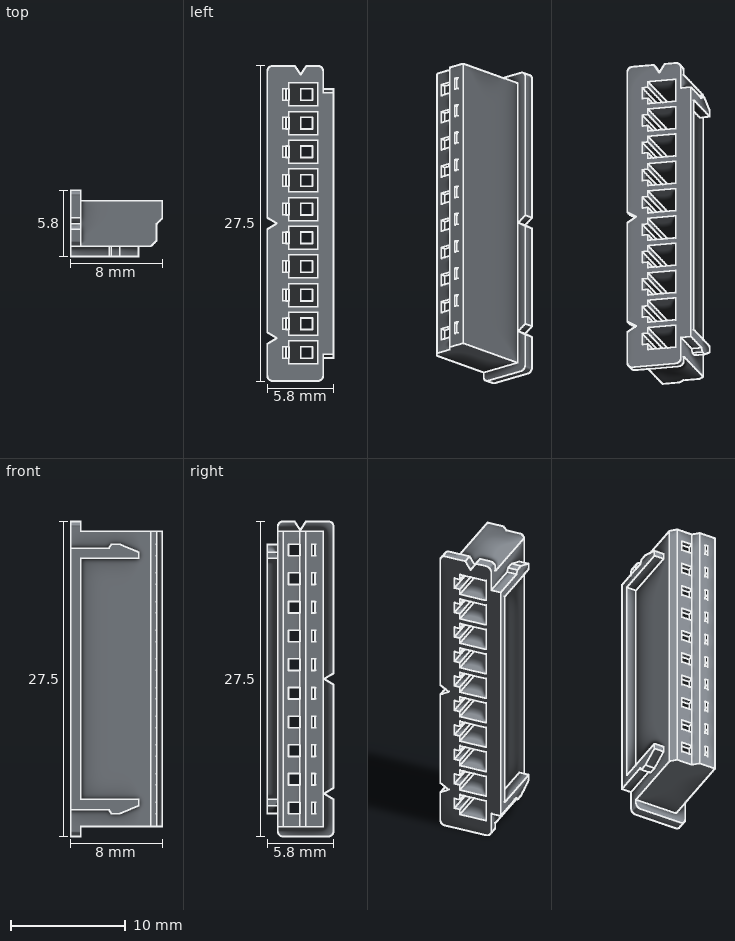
import cadquery as cq


flange_height = 27.5
flange_width = 4.9
flange_thickness = 0.9
corner_radius = 0.5
notch_width = 1.0
side_notch_depth = 0.82
top_notch_depth = 0.77
top_notch_y = 1.98

body_length = 8.0
body_height = 25.77
body_width = flange_width - flange_thickness
nose_step = 0.5
nose_step_y = 2.45

latch_thickness = 0.9
latch_length = 5.95
latch_arm_width = 0.9
latch_bar_width = 0.9
latch_outer_z = 11.4
hook_start_x = 3.35
hook_crest_start_x = 3.55
hook_crest_end_x = 4.3
hook_crest_z = 11.75
hook_tip_z = 11.05

contact_count = 10
contact_span = 22.5
contact_pitch = contact_span / (contact_count - 1)
cavity_bottom_y = 0.5
cavity_top_y = 3.0
cavity_height = 2.0
cavity_depth = 7.0
window_size = 1.0
window_bottom_y = 0.95
slot_width = 1.0
slot_top_y = 3.52
slot_exit_chamfer = 0.28

side_notch_contacts = 4
side_notch_spacing = side_notch_contacts * contact_pitch


def box(x_range, y_range, height, z_center):
    """Block spanning the given X and Y ranges, centred on z_center."""
    length = x_range[1] - x_range[0]
    width = y_range[1] - y_range[0]
    corner = cq.Vector(x_range[0], y_range[0], z_center - height / 2)
    return cq.Workplane(cq.Solid.makeBox(length, width, height, corner))


def flange_prism(points):
    """Prism through the flange from an outline of (Y, Z) points."""
    return cq.Workplane("YZ").polyline(points).close().extrude(flange_thickness)


def make_flange():
    half_height = flange_height / 2
    half_notch = notch_width / 2
    flange = box((0, flange_thickness), (0, flange_width), flange_height, 0)
    flange = flange.edges("|X").fillet(corner_radius)

    flange = flange.cut(flange_prism([
        (top_notch_y - half_notch, half_height),
        (top_notch_y, half_height - top_notch_depth),
        (top_notch_y + half_notch, half_height),
    ]))
    for z in (0, -side_notch_spacing):
        flange = flange.cut(flange_prism([
            (flange_width, z - half_notch),
            (flange_width - side_notch_depth, z),
            (flange_width, z + half_notch),
        ]))
    return flange


def make_body():
    """Block with a stepped nose whose corners are cut at 45 degrees."""
    step_x = body_length - nose_step
    outline = [
        (0.0, 0.0),
        (step_x - nose_step, 0.0),
        (step_x, nose_step),
        (step_x, nose_step_y - nose_step),
        (body_length, nose_step_y),
        (body_length, body_width),
        (0.0, body_width),
    ]
    return cq.Workplane("XY").polyline(outline).close().extrude(body_height / 2, both=True)


def make_latch_plate():
    """C-shaped plate: a bar on the flange side and two hooked arms."""
    inner_z = latch_outer_z - latch_arm_width
    upper_edge = [
        (latch_bar_width, inner_z),
        (latch_length, inner_z),
        (latch_length, hook_tip_z),
        (hook_crest_end_x, hook_crest_z),
        (hook_crest_start_x, hook_crest_z),
        (hook_start_x, latch_outer_z),
        (0, latch_outer_z),
    ]
    lower_edge = [(x, -z) for x, z in reversed(upper_edge)]
    return cq.Workplane("XZ").polyline(upper_edge + lower_edge).close().extrude(latch_thickness)


def make_contact_cavity(z):
    """Cavity with a square pin window and a lance slot, both open at the nose."""
    cavity = box((0, cavity_depth), (cavity_bottom_y, cavity_top_y), cavity_height, z)
    window_top_y = window_bottom_y + window_size
    window = box((0, body_length), (window_bottom_y, window_top_y), window_size, z)
    slot = (
        cq.Workplane("XY", origin=(0, 0, z))
        .polyline([
            (0, cavity_top_y),
            (0, slot_top_y),
            (body_length - slot_exit_chamfer, slot_top_y),
            (body_length, slot_top_y - slot_exit_chamfer),
            (body_length, cavity_top_y),
        ])
        .close()
        .extrude(slot_width / 2, both=True)
    )
    return cavity.union(window).union(slot)


result = make_flange().union(make_body()).union(make_latch_plate())
for index in range(contact_count):
    contact_z = index * contact_pitch - contact_span / 2
    result = result.cut(make_contact_cavity(contact_z))